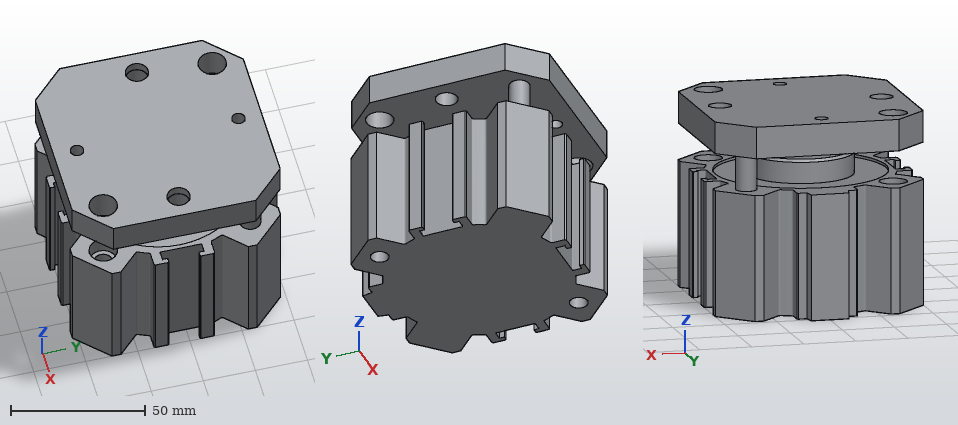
import cadquery as cq
import math

SIDE = 80.0
HALF_SIDE = SIDE / 2
TOTAL_LENGTH_Y = 84
HOUSING_HEIGHT = 48.0
CORNER_OFFSET = 28.2

CORNER_CHAMFER = 12.1
POST_EDGE = 24.45
SHELL_RADIUS = 35.95
POST_ROOT_FILLET = 1.0
POST_WALL_SHIFT = (HALF_SIDE - POST_EDGE) / 2
POST_ROOT_MEAN = math.sqrt(SHELL_RADIUS**2 / 2 - POST_WALL_SHIFT**2)
POST_ROOT_X = POST_ROOT_MEAN - POST_WALL_SHIFT
POST_ROOT_Y = -POST_ROOT_MEAN - POST_WALL_SHIFT
RIB_OUTER = 11.7
RIB_CHAMFER = 0.5
RIB_ROOT_FILLET = 0.7
LIP_CHAMFER = 0.3
SLOT_MOUTH = 6.0
SLOT_INSIDE = 8.0
SLOT_FLOOR = 34.35
LIP_THICKNESS = 2.0
SLOT_FLOOR_FILLET = 0.25

RAIL_TIP = TOTAL_LENGTH_Y - HALF_SIDE
RAIL_TIP_WIDTH = 14.45
RAIL_BASE_WIDTH = 16

RECESS_DIAMETER = 65.5
RECESS_DEPTH = 1.0
COLLAR_DIAMETER = 40.0
COLLAR_TOP = 56.0
COLLAR_CHAMFER = 1.0

BOLT_HEAD_DIAMETER = 10.5
BOLT_HOLE_DIAMETER = 7.0
BOLT_HEAD_DEPTH = 6.5

PLATE_BOTTOM = 62.0
PLATE_TOP = 74.0
PLATE_CHAMFER = 12.6
PLATE_HOLE_OFFSET = 31.0
TAPPED_HOLE_DIAMETER = 8.5
TAPPED_HOLE_MOUTH_DIAMETER = 8.6
TAPPED_HOLE_MOUTH_DEPTH = 3.5
DOWEL_HOLE_DIAMETER = 4.95
ROD_DIAMETER = 20.0
ROD_ACROSS_FLATS = 17.0
FLATS_BOTTOM = 57.45
GUIDE_DIAMETER = 8.0

GUIDE_CENTERS = [(-CORNER_OFFSET, -CORNER_OFFSET), (CORNER_OFFSET, CORNER_OFFSET)]
BOLT_CENTERS = [(-CORNER_OFFSET, CORNER_OFFSET), (CORNER_OFFSET, -CORNER_OFFSET)]


def cylinder(diameter, bottom, top, center=(0, 0)):
    return cq.Workplane("XY", origin=(*center, bottom)).circle(diameter / 2).extrude(top - bottom)


def chamfered_square(bottom, top, chamfer):
    block = cq.Workplane("XY", origin=(0, 0, bottom)).rect(SIDE, SIDE).extrude(top - bottom)
    return block.edges("|Z").chamfer(chamfer)


def fillet_upright_edge(block, x, y, radius):
    edge = block.edges("|Z").edges(cq.selectors.NearestToPointSelector((x, y, HOUSING_HEIGHT / 2)))
    return edge.fillet(radius)


def side_channel():
    """Open space between two corner posts of the -Y side, outside the round shell."""
    wall_run = POST_EDGE / 2
    channel = (
        cq.Workplane("XY")
        .polyline([
            (-POST_EDGE + wall_run, -HALF_SIDE + wall_run),
            (-POST_EDGE, -HALF_SIDE),
            (POST_EDGE, -HALF_SIDE),
            (POST_EDGE - wall_run, -HALF_SIDE + wall_run),
        ])
        .close()
        .extrude(HOUSING_HEIGHT)
        .cut(cylinder(2 * SHELL_RADIUS, 0, HOUSING_HEIGHT))
        .cut(slot_rib())
    )
    flank_root = math.sqrt(SHELL_RADIUS**2 - RIB_OUTER**2)
    for sign in (-1, 1):
        channel = fillet_upright_edge(channel, sign * RIB_OUTER, -flank_root, RIB_ROOT_FILLET)
        channel = fillet_upright_edge(channel, sign * POST_ROOT_X, POST_ROOT_Y, POST_ROOT_FILLET)
    return channel


def slot_rib():
    """Rib in the middle of the -Y side that later receives the T-slot."""
    return (
        cq.Workplane("XY")
        .polyline([
            (-RIB_OUTER, 0),
            (-RIB_OUTER, -HALF_SIDE + RIB_CHAMFER),
            (-RIB_OUTER + RIB_CHAMFER, -HALF_SIDE),
            (RIB_OUTER - RIB_CHAMFER, -HALF_SIDE),
            (RIB_OUTER, -HALF_SIDE + RIB_CHAMFER),
            (RIB_OUTER, 0),
        ])
        .close()
        .extrude(HOUSING_HEIGHT)
    )


def t_slot():
    """T-slot of the -Y side, with beveled lips and rounded floor corners."""
    under_lip = -HALF_SIDE + LIP_THICKNESS
    slot = (
        cq.Workplane("XY")
        .polyline([
            (-SLOT_INSIDE, -SLOT_FLOOR),
            (-SLOT_INSIDE, under_lip),
            (-SLOT_MOUTH, under_lip),
            (-SLOT_MOUTH, -HALF_SIDE + LIP_CHAMFER),
            (-SLOT_MOUTH - LIP_CHAMFER, -HALF_SIDE),
            (SLOT_MOUTH + LIP_CHAMFER, -HALF_SIDE),
            (SLOT_MOUTH, -HALF_SIDE + LIP_CHAMFER),
            (SLOT_MOUTH, under_lip),
            (SLOT_INSIDE, under_lip),
            (SLOT_INSIDE, -SLOT_FLOOR),
        ])
        .close()
        .extrude(HOUSING_HEIGHT)
    )
    return slot.faces(">Y").edges("|Z").fillet(SLOT_FLOOR_FILLET)


def rail():
    """Tapered rail that fills the +Y slot and projects from it."""
    slope = (RAIL_BASE_WIDTH - RAIL_TIP_WIDTH) / 2 / (RAIL_TIP - HALF_SIDE)
    root_half_width = RAIL_BASE_WIDTH / 2 + slope * (HALF_SIDE - SLOT_FLOOR)
    tip_half_width = RAIL_TIP_WIDTH / 2
    return (
        cq.Workplane("XY")
        .polyline([
            (-root_half_width, SLOT_FLOOR),
            (root_half_width, SLOT_FLOOR),
            (tip_half_width, RAIL_TIP),
            (-tip_half_width, RAIL_TIP),
        ])
        .close()
        .extrude(HOUSING_HEIGHT)
    )


def bolt_hole(center):
    """Counterbored hole right through a corner post."""
    head_seat = HOUSING_HEIGHT - BOLT_HEAD_DEPTH
    shank = cylinder(BOLT_HOLE_DIAMETER, 0, HOUSING_HEIGHT, center)
    return shank.union(cylinder(BOLT_HEAD_DIAMETER, head_seat, HOUSING_HEIGHT, center))


def make_housing():
    body = chamfered_square(0, HOUSING_HEIGHT, CORNER_CHAMFER)
    side_cut = side_channel().union(t_slot())
    for side in range(4):
        body = body.cut(side_cut.rotate((0, 0, 0), (0, 0, 1), 90 * side))
    body = body.union(rail())
    body = body.cut(cylinder(RECESS_DIAMETER, HOUSING_HEIGHT - RECESS_DEPTH, HOUSING_HEIGHT))
    collar = cylinder(COLLAR_DIAMETER, HOUSING_HEIGHT - RECESS_DEPTH, COLLAR_TOP)
    body = body.union(collar.faces(">Z").chamfer(COLLAR_CHAMFER))
    for center in BOLT_CENTERS:
        body = body.cut(bolt_hole(center))
    return body


def tapped_hole(center):
    """Threaded hole through the plate with a slightly wider mouth."""
    mouth_floor = PLATE_TOP - TAPPED_HOLE_MOUTH_DEPTH
    thread = cylinder(TAPPED_HOLE_DIAMETER, PLATE_BOTTOM, PLATE_TOP, center)
    return thread.union(cylinder(TAPPED_HOLE_MOUTH_DIAMETER, mouth_floor, PLATE_TOP, center))


def make_plate():
    plate = chamfered_square(PLATE_BOTTOM, PLATE_TOP, PLATE_CHAMFER)
    for center in BOLT_CENTERS:
        plate = plate.cut(cylinder(BOLT_HEAD_DIAMETER, PLATE_BOTTOM, PLATE_TOP, center))
    for offset in (-PLATE_HOLE_OFFSET, PLATE_HOLE_OFFSET):
        plate = plate.cut(tapped_hole((offset, 0)))
        plate = plate.cut(cylinder(DOWEL_HOLE_DIAMETER, PLATE_BOTTOM, PLATE_TOP, (0, offset)))
    return plate


def piston_rod():
    """Rod between the collar and the plate, with two flats facing -X and +X."""
    flats_height = PLATE_BOTTOM - FLATS_BOTTOM
    flatted = (
        cylinder(ROD_DIAMETER, FLATS_BOTTOM, PLATE_BOTTOM)
        .intersect(
            cq.Workplane("XY", origin=(0, 0, FLATS_BOTTOM))
            .rect(ROD_ACROSS_FLATS, ROD_DIAMETER)
            .extrude(flats_height)
        )
    )
    return cylinder(ROD_DIAMETER, COLLAR_TOP, FLATS_BOTTOM).union(flatted)


def make_slide():
    slide = make_plate().union(piston_rod())
    for center in GUIDE_CENTERS:
        slide = slide.union(cylinder(GUIDE_DIAMETER, HOUSING_HEIGHT, PLATE_BOTTOM, center))
    return slide


housing = make_housing()
slide = make_slide()
result = cq.Compound.makeCompound([housing.val(), slide.val()])